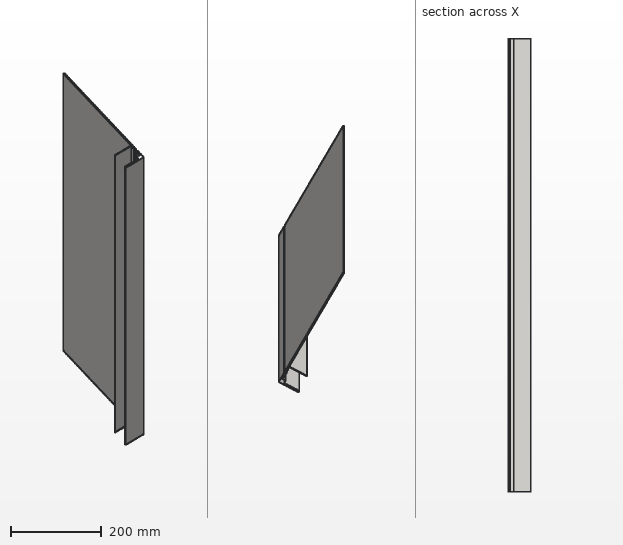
import cadquery as cq

LENGTH = 999.0
WIDTH = 293.0
DEPTH = 50.0

SHEET_THICKNESS = 3.0
PANEL_WIDTH = 266.0

STRIP_X = 250.0
FIN_THICKNESS = 1.5
FIN_TIP_Y = 2.0
THIN_FLANGE_THICKNESS = 1.0
THICK_FLANGE_THICKNESS = 2.0
THICK_FLANGE_X = 262.0

PANEL_GAP = 4.0
LEG_THICKNESS = 4.0
BLOCK_WIDTH = 10.0
BLOCK_DEPTH = 12.0

sheet_front_y = DEPTH - SHEET_THICKNESS
block_x = WIDTH - BLOCK_WIDTH


def extrude_section(points):
    """Extrude a closed XY section over the full length."""
    return cq.Workplane("XY").polyline(points).close().extrude(LENGTH)


def make_panel():
    """Plain rectangular sheet along the back."""
    return extrude_section([
        (0, sheet_front_y),
        (PANEL_WIDTH, sheet_front_y),
        (PANEL_WIDTH, DEPTH),
        (0, DEPTH),
    ])


def make_strip():
    """Fin pointing to -Y, with a flange that bridges the gap and ends at the corner block."""
    fin_inner_x = STRIP_X + FIN_THICKNESS
    thin_front_y = sheet_front_y - THIN_FLANGE_THICKNESS
    thick_front_y = sheet_front_y - THICK_FLANGE_THICKNESS
    return extrude_section([
        (STRIP_X, sheet_front_y),
        (block_x, sheet_front_y),
        (block_x, thick_front_y),
        (THICK_FLANGE_X, thick_front_y),
        (THICK_FLANGE_X, thin_front_y),
        (fin_inner_x, thin_front_y),
        (fin_inner_x, FIN_TIP_Y),
        (STRIP_X, FIN_TIP_Y),
    ])


def make_corner_profile():
    """Flange level with the panel, corner block and leg in one section."""
    flange_x = PANEL_WIDTH + PANEL_GAP
    leg_inner_x = WIDTH - LEG_THICKNESS
    block_front_y = DEPTH - BLOCK_DEPTH
    return extrude_section([
        (flange_x, sheet_front_y),
        (flange_x, DEPTH),
        (WIDTH, DEPTH),
        (WIDTH, 0),
        (leg_inner_x, 0),
        (leg_inner_x, block_front_y),
        (block_x, block_front_y),
        (block_x, sheet_front_y),
    ])


panel = make_panel()
strip = make_strip()
corner_profile = make_corner_profile()

result = cq.Compound.makeCompound([panel.val(), strip.val(), corner_profile.val()])